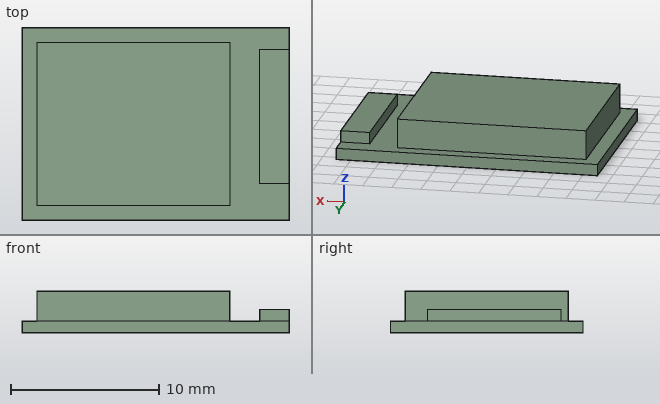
import cadquery as cq

board_length = 18.0
board_width = 13.0
board_thickness = 0.8

overall_height = 2.8
shield_length = 13.0
shield_width = 11.0
shield_height = overall_height - board_thickness
shield_margin = (board_width - shield_width) / 2

connector_length = 2.0
connector_width = 9.0
connector_height = board_thickness
connector_back_gap = 1.5

board_min_x = -board_length / 2
board_max_x = board_length / 2
board_max_y = board_width / 2


def block(length, width, height, center_x, center_y, base_z):
    """Rectangular block standing on the plane Z = base_z."""
    return (
        cq.Workplane("XY")
        .box(length, width, height, centered=(True, True, False))
        .translate((center_x, center_y, base_z))
    )


def make_board():
    return block(board_length, board_width, board_thickness, 0, 0, 0)


def make_shield():
    center_x = board_min_x + shield_margin + shield_length / 2
    return block(shield_length, shield_width, shield_height, center_x, 0, board_thickness)


def make_connector():
    center_x = board_max_x - connector_length / 2
    center_y = board_max_y - connector_back_gap - connector_width / 2
    return block(
        connector_length, connector_width, connector_height, center_x, center_y, board_thickness
    )


board = make_board()
shield = make_shield()
connector = make_connector()

result = cq.Compound.makeCompound([board.val(), shield.val(), connector.val()])